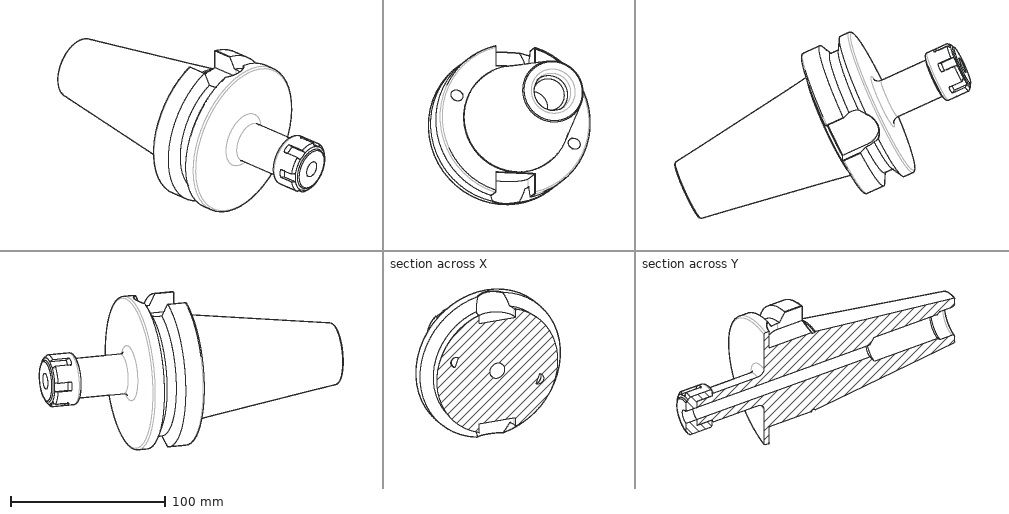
import cadquery as cq
import math

TOLERANCE = 0.02

TOTAL_LENGTH = 197.0
NUT_BACK = 177.7

TAPER_LENGTH = 102.2
TAPER_LARGE_RADIUS = 35.0
TAPER_RATIO = 7 / 24
TAPER_SMALL_RADIUS = TAPER_LARGE_RADIUS - TAPER_LENGTH * TAPER_RATIO / 2
TAPER_END_BEVEL = 0.8

NECK_RADIUS = 34.3
NECK_SLOPE = 0.4

FLANGE_RADIUS = 50.0
FLANGE_BACK = 104.8
FLANGE_FRONT = 139.9
FLANGE_ROUND = 1.2
GROOVE_RADIUS = 42.5
GROOVE_BACK = 117.8
GROOVE_FLOOR_BACK = 121.7
GROOVE_FLOOR_FRONT = 128.0
GROOVE_FRONT = 132.4

DRIVE_SLOTS = 2
SLOT_WIDTH = 25.6
SLOT_END = 136.0
SLOT_FLOOR = 35.3
SLOT_BEVEL = 0.4

COOLANT_RADIUS = 3.45
COOLANT_PITCH_RADIUS = 41.5
COOLANT_ANGLE = 20.0
COOLANT_TILT = 33.0
COOLANT_DEPTH = 19.7

NOSE_RADIUS = 13.0
NOSE_FILLET = 5.0
NOSE_CHAMFER = 0.8
SPIGOT_RADIUS = 11.0
SPIGOT_END = 189.1

BORE_MOUTH_ROUND = 2.4
BORE_RADIUS = 12.2
BORE_DEPTH = 11.0
THREAD_RADIUS = 10.5
THREAD_DEPTH = 59.1
PASSAGE_RADIUS = 5.1
DRILL_HALF_ANGLE = 59.0

NUT_RADIUS = 17.0
NUT_BACK_ROUND = 1.8
NUT_BEVEL_START = 193.8
NUT_BEVEL = 1.8
NUT_FACE_RADIUS = 12.8
NUT_FACE_BEVEL = 0.8

WRENCH_SLOTS = 6
WRENCH_SLOT_WIDTH = 6.0
WRENCH_SLOT_FLOOR = 15.0
WRENCH_SLOT_BACK = 184.4
WRENCH_SLOT_LONG_BACK = 182.5
WRENCH_SLOT_RAMP = 2.2
LONG_SLOT_ANGLES = (60, 120)


def about_x(outline):
    """Turn a closed outline, drawn as (X, radius), once around the X axis."""
    return outline.close().revolve(360, (0, 0, 0), (1, 0, 0))


def corner_arc(outline, end, corner_centre, radius, angle):
    """Add an arc that passes the given angle on its circle and stops at end."""
    turn = math.radians(angle)
    middle = (corner_centre[0] + radius * math.cos(turn), corner_centre[1] + radius * math.sin(turn))
    return outline.threePointArc(middle, end)


def holder_blank():
    """Taper, neck, grooved flange, nose and spigot in one turning."""
    outline = cq.Workplane("XZ").moveTo(0, 0).lineTo(0, TAPER_SMALL_RADIUS - TAPER_END_BEVEL)
    outline = outline.lineTo(TAPER_END_BEVEL, TAPER_SMALL_RADIUS)
    outline = outline.lineTo(TAPER_LENGTH, TAPER_LARGE_RADIUS)
    outline = outline.lineTo(TAPER_LENGTH + NECK_SLOPE, NECK_RADIUS)
    outline = outline.lineTo(FLANGE_BACK - NECK_SLOPE, NECK_RADIUS)
    outline = outline.lineTo(FLANGE_BACK, NECK_RADIUS + NECK_SLOPE)
    rim = FLANGE_RADIUS - FLANGE_ROUND
    outline = outline.lineTo(FLANGE_BACK, rim)
    back = FLANGE_BACK + FLANGE_ROUND
    front = FLANGE_FRONT - FLANGE_ROUND
    outline = corner_arc(outline, (back, FLANGE_RADIUS), (back, rim), FLANGE_ROUND, 135)
    outline = outline.lineTo(GROOVE_BACK, FLANGE_RADIUS)
    outline = outline.lineTo(GROOVE_FLOOR_BACK, GROOVE_RADIUS)
    outline = outline.lineTo(GROOVE_FLOOR_FRONT, GROOVE_RADIUS)
    outline = outline.lineTo(GROOVE_FRONT, FLANGE_RADIUS)
    outline = outline.lineTo(front, FLANGE_RADIUS)
    outline = corner_arc(outline, (FLANGE_FRONT, rim), (front, rim), FLANGE_ROUND, 45)
    centre = (FLANGE_FRONT + NOSE_FILLET, NOSE_RADIUS + NOSE_FILLET)
    outline = outline.lineTo(FLANGE_FRONT, centre[1])
    outline = corner_arc(outline, (centre[0], NOSE_RADIUS), centre, NOSE_FILLET, 225)
    outline = outline.lineTo(NUT_BACK - NOSE_CHAMFER, NOSE_RADIUS)
    outline = outline.lineTo(NUT_BACK, NOSE_RADIUS - NOSE_CHAMFER)
    outline = outline.lineTo(NUT_BACK, SPIGOT_RADIUS)
    outline = outline.lineTo(SPIGOT_END, SPIGOT_RADIUS).lineTo(SPIGOT_END, 0)
    return about_x(outline)


def holder_bore():
    """Rounded mouth, plain bore, threaded bore, drill cone and through passage."""
    mouth = BORE_RADIUS + BORE_MOUTH_ROUND
    step = BORE_RADIUS - THREAD_RADIUS
    cone = (THREAD_RADIUS - PASSAGE_RADIUS) / math.tan(math.radians(DRILL_HALF_ANGLE))
    outline = cq.Workplane("XZ").moveTo(0, 0).lineTo(0, mouth)
    outline = corner_arc(outline, (BORE_MOUTH_ROUND, BORE_RADIUS), (BORE_MOUTH_ROUND, mouth),
                         BORE_MOUTH_ROUND, 225)
    outline = outline.lineTo(BORE_DEPTH, BORE_RADIUS)
    outline = outline.lineTo(BORE_DEPTH + step, THREAD_RADIUS)
    outline = outline.lineTo(THREAD_DEPTH, THREAD_RADIUS)
    outline = outline.lineTo(THREAD_DEPTH + cone, PASSAGE_RADIUS)
    outline = outline.lineTo(TOTAL_LENGTH, PASSAGE_RADIUS).lineTo(TOTAL_LENGTH, 0)
    return about_x(outline)


def drive_slot():
    """Round-ended slot cutter standing on the slot floor at the top of the flange."""
    half = SLOT_WIDTH / 2
    arc_start = SLOT_END - half
    outline = cq.Workplane("XY").workplane(offset=SLOT_FLOOR).moveTo(FLANGE_BACK, -half)
    outline = outline.lineTo(arc_start, -half).threePointArc((SLOT_END, 0), (arc_start, half))
    return outline.lineTo(FLANGE_BACK, half).close().extrude(FLANGE_RADIUS - SLOT_FLOOR)


def bevel_slot_edges(body):
    """Break the top slot's edges along the flange back face, the back round and the rims."""
    reach = SLOT_WIDTH / 2 + SLOT_BEVEL
    near_slot = cq.selectors.BoxSelector(
        (FLANGE_BACK - SLOT_BEVEL, -reach, SLOT_FLOOR - SLOT_BEVEL),
        (SLOT_END + SLOT_BEVEL, reach, FLANGE_RADIUS + SLOT_BEVEL))
    rim_start = FLANGE_RADIUS - FLANGE_ROUND

    def is_outer(edge):
        ends = (edge.startPoint(), edge.endPoint())
        on_rim = all(math.hypot(end.y, end.z) > rim_start - TOLERANCE for end in ends)
        on_back = all(end.x < FLANGE_BACK + TOLERANCE for end in ends)
        return on_rim or on_back

    return body.edges(near_slot).filter(is_outer).chamfer(SLOT_BEVEL)


def coolant_hole():
    """Blind hole that slopes towards the centre line."""
    tilt = math.radians(COOLANT_TILT)
    inward = cq.Vector(math.cos(tilt), -math.sin(tilt), 0)
    mouth = cq.Vector(FLANGE_BACK, COOLANT_PITCH_RADIUS, 0)
    overrun = 2 * COOLANT_RADIUS
    hole = cq.Solid.makeCylinder(COOLANT_RADIUS, COOLANT_DEPTH + overrun, mouth - inward * overrun, inward)
    return cq.Workplane(hole).rotate((0, 0, 0), (1, 0, 0), COOLANT_ANGLE)


def make_holder():
    """Cut each slot and hole at the top, then turn the holder half round for the next pair."""
    holder = holder_blank().cut(holder_bore())
    for _ in range(DRIVE_SLOTS):
        holder = bevel_slot_edges(holder.cut(drive_slot())).cut(coolant_hole())
        holder = holder.rotate((0, 0, 0), (1, 0, 0), 360 / DRIVE_SLOTS)
    return holder


def nut_blank():
    """Cap with a rounded back edge, a bevelled front and a recess for the spigot."""
    round_end = NUT_BACK + NUT_BACK_ROUND
    round_base = NUT_RADIUS - NUT_BACK_ROUND
    bevel_end = NUT_BEVEL_START + NUT_BEVEL
    outline = cq.Workplane("XZ").moveTo(NUT_BACK, SPIGOT_RADIUS).lineTo(NUT_BACK, round_base)
    outline = corner_arc(outline, (round_end, NUT_RADIUS), (round_end, round_base), NUT_BACK_ROUND, 135)
    outline = outline.lineTo(NUT_BEVEL_START, NUT_RADIUS)
    outline = outline.lineTo(bevel_end, NUT_RADIUS - NUT_BEVEL)
    outline = outline.lineTo(TOTAL_LENGTH - NUT_FACE_BEVEL, NUT_FACE_RADIUS + NUT_FACE_BEVEL)
    outline = outline.lineTo(TOTAL_LENGTH, NUT_FACE_RADIUS)
    outline = outline.lineTo(TOTAL_LENGTH, PASSAGE_RADIUS).lineTo(SPIGOT_END, PASSAGE_RADIUS)
    return about_x(outline.lineTo(SPIGOT_END, SPIGOT_RADIUS))


def wrench_slot(back):
    """Slot cutter on the +Y side of the nut, with a ramp up from its floor at the back."""
    outline = cq.Workplane("XY").workplane(offset=-WRENCH_SLOT_WIDTH / 2).moveTo(back, NUT_RADIUS)
    outline = outline.lineTo(back + WRENCH_SLOT_RAMP, WRENCH_SLOT_FLOOR)
    outline = outline.lineTo(TOTAL_LENGTH, WRENCH_SLOT_FLOOR)
    return outline.lineTo(TOTAL_LENGTH, NUT_RADIUS).close().extrude(WRENCH_SLOT_WIDTH)


def make_nut():
    """Cap with evenly spaced wrench slots, two of them longer than the rest."""
    nut = nut_blank()
    for index in range(WRENCH_SLOTS):
        angle = index * 360 // WRENCH_SLOTS
        back = WRENCH_SLOT_LONG_BACK if angle in LONG_SLOT_ANGLES else WRENCH_SLOT_BACK
        nut = nut.cut(wrench_slot(back).rotate((0, 0, 0), (1, 0, 0), angle))
    return nut


holder = make_holder()
nut = make_nut()
result = cq.Compound.makeCompound([holder.val(), nut.val()])